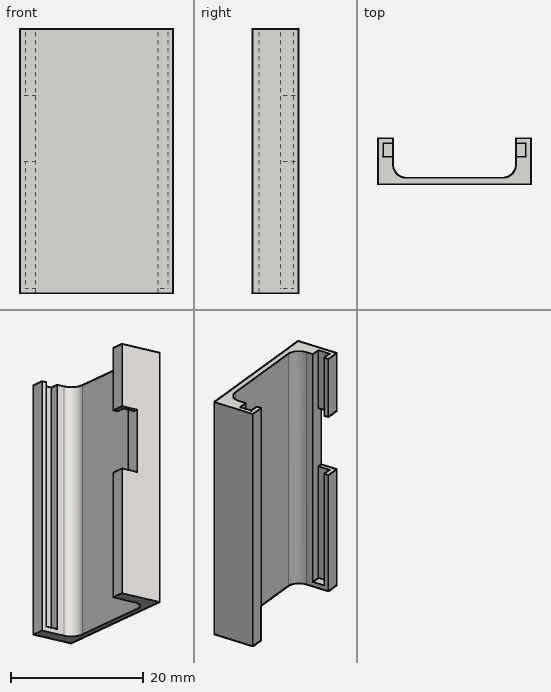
import cadquery as cq

width = 23.2
depth = 7.0
height = 40.0

side_wall = 2.3
back_wall = 1.0
inner_radius = 2.0

groove_skin = 0.8
groove_lip = 0.8
groove_width = 2.0
groove_floor = 0.8

notch_height = 10.0
notch_bottom = height / 2
notch_depth = groove_lip + groove_width


def box(x, y, z, size_x, size_y, size_z):
    """Box with its lowest corner at (x, y, z)."""
    return cq.Workplane("XY").box(size_x, size_y, size_z, centered=False).translate((x, y, z))


def channel():
    """U-shaped body with rounded inner corners, open toward +Y."""
    body = box(0, 0, 0, width, depth, height)
    cavity = box(side_wall, back_wall, 0, width - 2 * side_wall, depth - back_wall, height)
    return body.cut(cavity.edges("|Z and <Y").fillet(inner_radius))


groove_depth = side_wall - groove_skin
groove_y = depth - groove_lip - groove_width

result = channel()

for groove_x in (groove_skin, width - side_wall):
    groove = box(groove_x, groove_y, groove_floor, groove_depth, groove_width, height - groove_floor)
    result = result.cut(groove)

notch = box(0, depth - notch_depth, notch_bottom, side_wall, notch_depth, notch_height)
result = result.cut(notch)